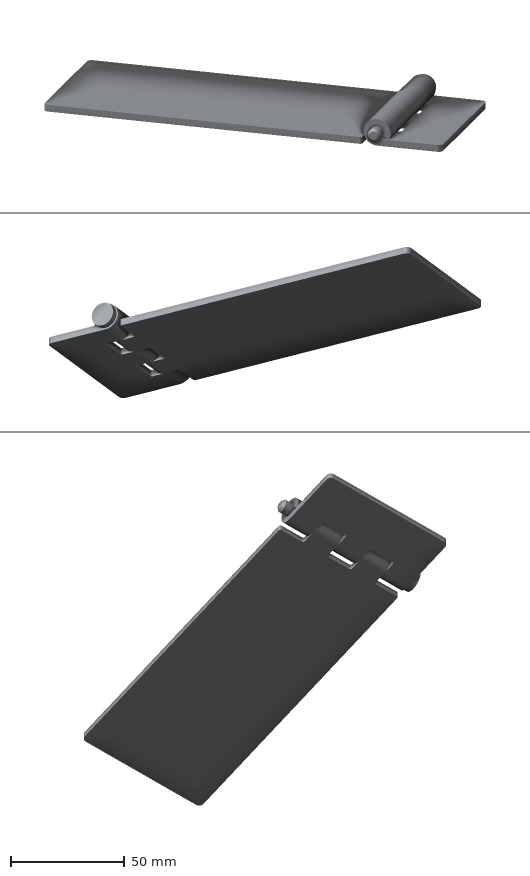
import cadquery as cq
import math

overall_length = 185.0
leaf_width = 65.0
leaf_thickness = 3.1
barrel_diameter = 12.4
knuckle_count = 5
short_leaf_reach = 30.0
root_reach = 7.2
blade_corner_radius = 2.2
root_corner_radius = 1.0
curl_end_angle = 27.0

pin_head_diameter = 11.0
pin_head_thickness = 3.0
pin_tip_length = 5.2
pin_tip_chamfer = 1.1
pin_groove_gap = 1.3
pin_groove_width = 0.5
pin_groove_depth = 0.1

barrel_radius = barrel_diameter / 2
bore_radius = barrel_radius - leaf_thickness
pin_x = overall_length / 2 - short_leaf_reach
pin_z = barrel_radius
long_leaf_reach = overall_length - short_leaf_reach
knuckle_width = leaf_width / knuckle_count
half_width = leaf_width / 2


def make_blade(side, reach):
    """Flat plate with rounded corners at its free edge; side is the X direction it points."""
    length = reach - root_reach
    center_x = pin_x + side * (root_reach + length / 2)
    free_edge = ">X" if side > 0 else "<X"
    return (
        cq.Workplane("XY")
        .center(center_x, 0)
        .rect(length, leaf_width)
        .extrude(leaf_thickness)
        .faces(free_edge)
        .edges("|Z")
        .fillet(blade_corner_radius)
    )


def make_knuckle(side, index):
    """Strip running from the blade to below the pin axis, then rolled up around the pin."""
    end_cos = math.cos(math.radians(curl_end_angle))
    end_sin = math.sin(math.radians(curl_end_angle))

    def at(outward, up):
        return (pin_x + side * outward, pin_z + up)

    return (
        cq.Workplane("XZ", origin=(0, half_width - index * knuckle_width, 0))
        .moveTo(*at(root_reach, -barrel_radius))
        .lineTo(*at(0, -barrel_radius))
        .threePointArc(at(-barrel_radius, 0), at(barrel_radius * end_cos, -barrel_radius * end_sin))
        .lineTo(*at(bore_radius * end_cos, -bore_radius * end_sin))
        .threePointArc(at(-bore_radius, 0), at(0, -bore_radius))
        .lineTo(*at(root_reach, -bore_radius))
        .close()
        .extrude(knuckle_width)
    )


def make_leaf(side, reach, first_knuckle):
    """Blade with every second knuckle, counted from the +Y end."""
    leaf = make_blade(side, reach)
    for index in range(first_knuckle, knuckle_count, 2):
        leaf = leaf.union(make_knuckle(side, index))
    margin = 0.2
    root_x = pin_x + side * root_reach
    root_zone = cq.selectors.BoxSelector(
        (root_x - margin, -leaf_width, -margin),
        (root_x + margin, leaf_width, leaf_thickness + margin),
    )
    upright = cq.selectors.ParallelDirSelector(cq.Vector(0, 0, 1))
    root_corners = cq.selectors.AndSelector(root_zone, upright)
    return leaf.edges(root_corners).fillet(root_corner_radius)


def make_pin():
    """Headed pin filling the bore, with a grooved, chamfered tip at the -Y end."""
    shank = (
        cq.Workplane("XZ", origin=(pin_x, half_width, pin_z))
        .circle(bore_radius)
        .extrude(leaf_width + pin_tip_length)
        .faces("<Y")
        .chamfer(pin_tip_chamfer)
    )
    head = (
        cq.Workplane("XZ", origin=(pin_x, half_width, pin_z))
        .circle(pin_head_diameter / 2)
        .extrude(-pin_head_thickness)
    )
    groove = (
        cq.Workplane("XZ", origin=(pin_x, -half_width - pin_groove_gap, pin_z))
        .circle(bore_radius)
        .circle(bore_radius - pin_groove_depth)
        .extrude(pin_groove_width)
    )
    return shank.union(head).cut(groove)


short_leaf = make_leaf(1, short_leaf_reach, 0)
long_leaf = make_leaf(-1, long_leaf_reach, 1)
pin = make_pin()

result = cq.Compound.makeCompound([short_leaf.val(), long_leaf.val(), pin.val()])